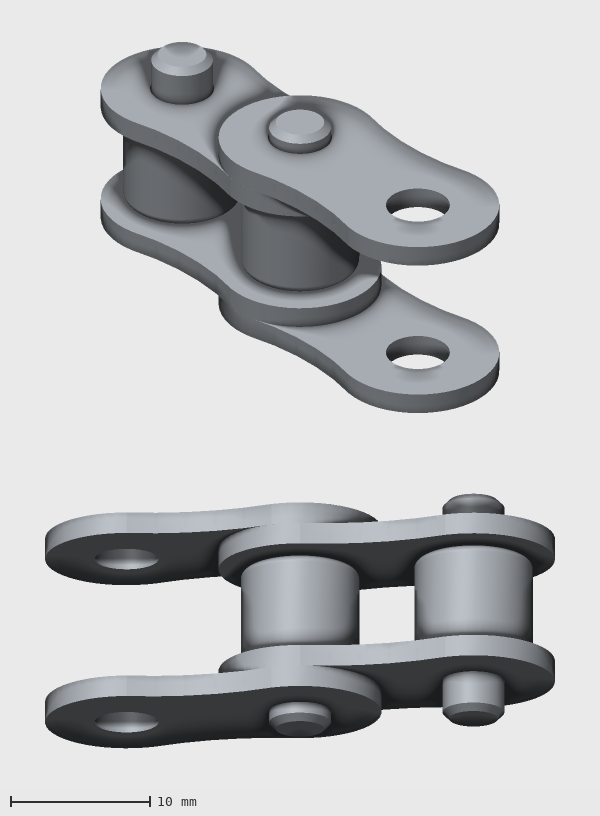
import cadquery as cq
import math

LENGTH = 37.05
PLATE_WIDTH = 11.7
PLATE_THICKNESS = 1.55
WAIST_WIDTH = 10.08
WAIST_START = 1.05
PIN_DIAMETER = 4.45
PIN_LENGTH = 16.5
PIN_CHAMFER = 0.5
BORE_DIAMETER = 4.6
ROLLER_DIAMETER = 8.52
ROLLER_LENGTH = 7.25
ROLLER_FILLET = 0.55
ROLLER_END_GAP = 0.22

END_RADIUS = PLATE_WIDTH / 2
PITCH = (LENGTH - PLATE_WIDTH) / 2
INNER_PLATE_BOTTOM = ROLLER_LENGTH / 2 + ROLLER_END_GAP
OUTER_PLATE_BOTTOM = INNER_PLATE_BOTTOM + PLATE_THICKNESS
PIN_POSITIONS = (0, PITCH)


def make_link_plate(first_hole_x, bottom_z):
    """Waisted plate with two holes one pitch apart along X."""
    shoulder_y = math.sqrt(END_RADIUS**2 - WAIST_START**2)
    waist_y = WAIST_WIDTH / 2
    right_shoulder_x = PITCH - WAIST_START
    outline = (
        cq.Workplane("XY")
        .moveTo(WAIST_START, shoulder_y)
        .threePointArc((-END_RADIUS, 0), (WAIST_START, -shoulder_y))
        .threePointArc((PITCH / 2, -waist_y), (right_shoulder_x, -shoulder_y))
        .threePointArc((PITCH + END_RADIUS, 0), (right_shoulder_x, shoulder_y))
        .threePointArc((PITCH / 2, waist_y), (WAIST_START, shoulder_y))
        .close()
    )
    blank = outline.extrude(PLATE_THICKNESS)
    holes = (
        cq.Workplane("XY")
        .pushPoints([(0, 0), (PITCH, 0)])
        .circle(BORE_DIAMETER / 2)
        .extrude(PLATE_THICKNESS)
    )
    return blank.cut(holes).translate((first_hole_x, 0, bottom_z))


def make_plate_pair(first_hole_x, bottom_z):
    """Upper plate and its mirror image below the mid-plane."""
    upper_plate = make_link_plate(first_hole_x, bottom_z)
    lower_plate = make_link_plate(first_hole_x, -bottom_z - PLATE_THICKNESS)
    return [upper_plate, lower_plate]


def make_pin(x):
    """Plain pin with both ends chamfered."""
    return (
        cq.Workplane("XY")
        .cylinder(PIN_LENGTH, PIN_DIAMETER / 2)
        .faces("|Z")
        .chamfer(PIN_CHAMFER)
        .translate((x, 0, 0))
    )


def make_roller(x):
    """Roller with rounded outer rims and a through bore for the pin."""
    blank = (
        cq.Workplane("XY")
        .cylinder(ROLLER_LENGTH, ROLLER_DIAMETER / 2)
        .faces("|Z")
        .edges()
        .fillet(ROLLER_FILLET)
    )
    bore = cq.Workplane("XY").cylinder(ROLLER_LENGTH, BORE_DIAMETER / 2)
    return blank.cut(bore).translate((x, 0, 0))


inner_plates = make_plate_pair(0, INNER_PLATE_BOTTOM)
outer_plates = make_plate_pair(PITCH, OUTER_PLATE_BOTTOM)
pins = [make_pin(x) for x in PIN_POSITIONS]
rollers = [make_roller(x) for x in PIN_POSITIONS]

bodies = inner_plates + outer_plates + pins + rollers
result = cq.Compound.makeCompound([body.val() for body in bodies])